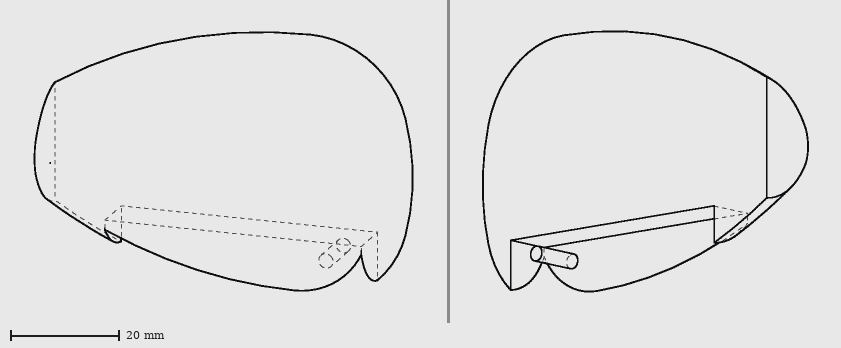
import cadquery as cq
import math

length = 69.8
thickness = 13.3
half_height = 25.7
neck_half_height = 11.4
widest_x = 49.85
end_radius = 45.4
rounding_width = 14.9

tip_x = 4.3
tip_radius = 12.2
tip_length = 3.55
tip_half_width = 3.5

pocket_start = 12.9
pocket_end = 62.9
pocket_depth = 9.3
pocket_top = -11.2
pin_diameter = 2.8
pin_x = 56.0
pin_z = -14.65
pin_projection = 0.7

side_rise = half_height - neck_half_height
side_radius = (widest_x**2 + side_rise**2) / (2 * side_rise)
side_center_z = half_height - side_radius

end_center_x = length - end_radius
center_gap = widest_x - end_center_x
corner_radius = (end_radius**2 - center_gap**2 - half_height**2) / (2 * (end_radius - half_height))
corner_center_z = half_height - corner_radius
corner_slope = corner_center_z / center_gap

flank_radius = (rounding_width**2 + thickness**2) / (2 * thickness)
flank_center_depth = thickness - flank_radius


def flank_depth(inset):
    """Depth of the rounded flank at a given inset from the outline."""
    return flank_center_depth + math.sqrt(flank_radius**2 - (rounding_width - inset) ** 2)


def dome(radius, center_x, center_z):
    """Round dome whose rim is one circle of the outline."""
    inset = min(radius, rounding_width)
    profile = (
        cq.Workplane("XY")
        .lineTo(radius, 0)
        .threePointArc(
            (radius - inset / 4, -flank_depth(inset / 4)),
            (radius - inset, -flank_depth(inset)),
        )
    )
    if inset < radius:
        profile = profile.lineTo(0, -thickness)
    return profile.close().revolve(360, (0, 0), (0, 1)).translate((center_x, 0, center_z))


def prism(points):
    """Prism through the body thickness over an outline of (x, z) points."""
    return cq.Workplane("XZ").polyline(points).close().extrude(thickness)


def block(x_range, y_range, z_range):
    """Rectangular block between the given limits."""
    ranges = (x_range, y_range, z_range)
    sizes = [high - low for low, high in ranges]
    return cq.Workplane("XY").box(*sizes, centered=False).translate([low for low, high in ranges])


def tapered_body():
    """Long tapered part, where the two side domes overlap."""
    upper = dome(side_radius, widest_x, side_center_z)
    lower = dome(side_radius, widest_x, -side_center_z)
    limits = block((0, widest_x), (-thickness, 0), (-half_height, half_height))
    return limits.intersect(upper).intersect(lower)


def rounded_corner(side):
    """Corner on the upper (side = 1) or lower (side = -1) half."""
    outer_z = corner_center_z + (length - widest_x) * corner_slope
    sector = prism([
        (widest_x, side * corner_center_z),
        (length, side * outer_z),
        (length, side * half_height),
        (widest_x, side * half_height),
    ])
    return dome(corner_radius, widest_x, side * corner_center_z).intersect(sector)


def rounded_end():
    """Broad end between the two corners."""
    outer_z = (length - end_center_x) * corner_slope
    sector = prism([
        (widest_x, -corner_center_z),
        (length, -outer_z),
        (length, outer_z),
        (widest_x, corner_center_z),
    ])
    return dome(end_radius, end_center_x, 0).intersect(sector)


def tip_waste():
    """Material outside the tip dome."""
    region = block((0, tip_length), (-thickness, 0), (-tip_half_width, tip_half_width))
    return region.cut(dome(tip_radius, tip_x, 0))


def pin():
    """Pin from the pocket floor to just beyond the back face."""
    return (
        cq.Workplane("XZ", origin=(pin_x, pin_projection, pin_z))
        .circle(pin_diameter / 2)
        .extrude(pin_projection + pocket_depth)
    )


pocket = block((pocket_start, pocket_end), (-pocket_depth, 0), (-half_height, pocket_top))

body = tapered_body().union(rounded_end())
for side in (1, -1):
    body = body.union(rounded_corner(side))

result = body.cut(tip_waste()).cut(pocket).union(pin())